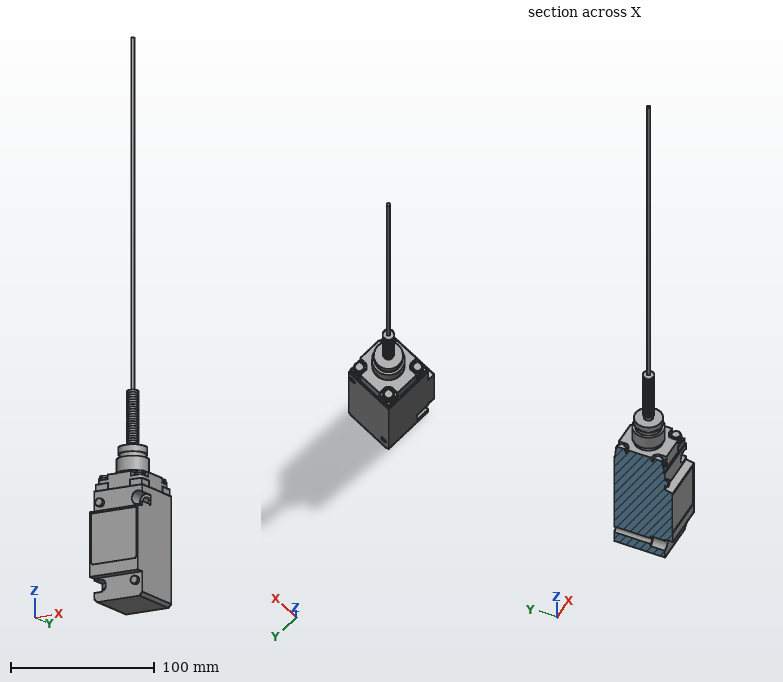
import cadquery as cq


TOTAL_HEIGHT = 408.5
HOUSING_SIDE = 39.2
HOUSING_HEIGHT = 80.0
BASE_CHAMFER = 2.5
FRONT_Y = -HOUSING_SIDE / 2

COVER_DEPTH = 6.0
COVER_BOTTOM = 17.0
COVER_TOP_FRONT = 63.7
COVER_TOP_REAR = 65.0
COVER_Y = FRONT_Y - COVER_DEPTH

PANEL_WIDTH = 36.8
PANEL_BOTTOM = 25.7
PANEL_TOP = 62.5
PANEL_CORNER = 1.2
PANEL_DEPTH = 0.5

FIXING_LOW_Z = 11.5
FIXING_HIGH_Z = 71.0
SCREW_X = 14.3
SCREW_RADIUS = 3.0
SCREW_PROTRUSION = 2.5
MOUNT_HOLE_RADIUS = 2.5
MOUNT_RECESS_DEPTH = 11.0
LOW_MOUNT_X = -14.5
LOW_RECESS_RADIUS = 4.5
HIGH_MOUNT_X = 16.0
HIGH_RECESS_RADIUS = 5.0

HEAD_TOP = 91.0
HEAD_WIDTH = 36.8
HEAD_CORNER_RADIUS = 4.0
FOOT_PROUD = 0.5
FOOT_SIZE = 10.0
FOOT_TOP = 85.0
CORNER_CUT = 9.0
CORNER_CUT_DEPTH = 3.3
CORNER_CUT_RADIUS = 4.0
HEAD_SCREW_OFFSET = 14.3
HEAD_SCREW_RADIUS = 3.3
HEAD_FLANGE_RADIUS = 3.9
HEAD_FLANGE_THICKNESS = 1.5

NECK_RADIUS = 10.2
COLLAR_RADIUS = 11.5
NECK_GROOVE_RADIUS = 9.5
COLLAR_BOTTOM = 94.5
COLLAR_TOP = 104.5
NECK_RING_BOTTOM = 108.2
NECK_TOP = 113.0

STEM_RADIUS = 3.3
SPRING_RADIUS = 4.0
SPRING_BOTTOM = 116.0
SPRING_TOP = 154.5
COIL_COUNT = 22
ROD_RADIUS = 1.2


def box(x_min, x_max, y_min, y_max, z_min, z_max):
    size = (x_max - x_min, y_max - y_min, z_max - z_min)
    return cq.Workplane("XY").box(*size, centered=False).translate((x_min, y_min, z_min))


def disc_along_y(x, z, radius, y_min, y_max):
    plane = cq.Workplane("XZ", origin=(x, y_min, z))
    return plane.circle(radius).extrude(y_min - y_max)


def housing():
    half = HOUSING_SIDE / 2
    body = box(-half, half, FRONT_Y, half, 0, HOUSING_HEIGHT)
    return body.edges("|Y and <Z").chamfer(BASE_CHAMFER)


def cover():
    side = [
        (FRONT_Y, COVER_BOTTOM),
        (COVER_Y, COVER_BOTTOM),
        (COVER_Y, COVER_TOP_FRONT),
        (FRONT_Y, COVER_TOP_REAR),
    ]
    return cq.Workplane("YZ").polyline(side).close().extrude(HOUSING_SIDE / 2, both=True)


def panel_recess():
    half = PANEL_WIDTH / 2
    recess = box(-half, half, COVER_Y, COVER_Y + PANEL_DEPTH, PANEL_BOTTOM, PANEL_TOP)
    return recess.edges("|Y and <Z").chamfer(PANEL_CORNER)


def mounting_holes():
    back = HOUSING_SIDE / 2
    recess_back = FRONT_Y + MOUNT_RECESS_DEPTH
    low_recess = disc_along_y(LOW_MOUNT_X, FIXING_LOW_Z, LOW_RECESS_RADIUS, FRONT_Y, recess_back)
    low_slot = box(
        -HOUSING_SIDE / 2,
        LOW_MOUNT_X,
        FRONT_Y,
        recess_back,
        FIXING_LOW_Z - LOW_RECESS_RADIUS,
        FIXING_LOW_Z + LOW_RECESS_RADIUS,
    )
    high_recess = disc_along_y(HIGH_MOUNT_X, FIXING_HIGH_Z, HIGH_RECESS_RADIUS, FRONT_Y, recess_back)
    low_hole = disc_along_y(LOW_MOUNT_X, FIXING_LOW_Z, MOUNT_HOLE_RADIUS, FRONT_Y, back)
    high_hole = disc_along_y(HIGH_MOUNT_X, FIXING_HIGH_Z, MOUNT_HOLE_RADIUS, FRONT_Y, back)
    return low_recess.union(low_slot).union(high_recess).union(low_hole).union(high_hole)


def cover_screws():
    front = FRONT_Y - SCREW_PROTRUSION
    high = disc_along_y(-SCREW_X, FIXING_HIGH_Z, SCREW_RADIUS, front, FRONT_Y)
    low = disc_along_y(SCREW_X, FIXING_LOW_Z, SCREW_RADIUS, front, FRONT_Y)
    return high.union(low)


def corner_cut(cut_z):
    """Tool for the corner at +X +Y: open on both outer sides, rounded on the inner edge."""
    half = HEAD_WIDTH / 2
    inner = half - CORNER_CUT
    cut = box(inner, half, inner, half, cut_z, HEAD_TOP)
    return cut.edges("|Z and <X and <Y").fillet(CORNER_CUT_RADIUS)


def corner_screw(cut_z):
    """Flanged screw head standing in the corner cut, level with the top of the head block."""
    plane = cq.Workplane("XY", origin=(HEAD_SCREW_OFFSET, HEAD_SCREW_OFFSET, cut_z))
    flange = plane.circle(HEAD_FLANGE_RADIUS).extrude(HEAD_FLANGE_THICKNESS)
    return flange.union(plane.circle(HEAD_SCREW_RADIUS).extrude(CORNER_CUT_DEPTH))


def head():
    half = HEAD_WIDTH / 2
    cut_z = HEAD_TOP - CORNER_CUT_DEPTH
    block = box(-half, half, -half, half, HOUSING_HEIGHT, HEAD_TOP)
    block = block.edges("|Z").fillet(HEAD_CORNER_RADIUS)

    foot_outer = half + FOOT_PROUD
    foot_inner = foot_outer - FOOT_SIZE
    foot = box(foot_inner, foot_outer, foot_inner, foot_outer, HOUSING_HEIGHT, FOOT_TOP)
    cut = corner_cut(cut_z)
    screw = corner_screw(cut_z)
    for angle in (0, 90, 180, 270):
        turn = ((0, 0, 0), (0, 0, 1), angle)
        block = block.union(foot.rotate(*turn))
        block = block.cut(cut.rotate(*turn))
        block = block.union(screw.rotate(*turn))
    return block


def stick():
    """Neck, spring and rod turned as one profile, with one rounded bulge per spring coil."""
    outline = cq.Workplane("XZ").moveTo(0, HOUSING_HEIGHT)
    steps = [
        (NECK_RADIUS, HOUSING_HEIGHT, COLLAR_BOTTOM),
        (COLLAR_RADIUS, COLLAR_BOTTOM, COLLAR_TOP),
        (NECK_GROOVE_RADIUS, COLLAR_TOP, NECK_RING_BOTTOM),
        (NECK_RADIUS, NECK_RING_BOTTOM, NECK_TOP),
        (STEM_RADIUS, NECK_TOP, SPRING_BOTTOM),
    ]
    for radius, bottom, top in steps:
        outline = outline.lineTo(-radius, bottom).lineTo(-radius, top)

    pitch = (SPRING_TOP - SPRING_BOTTOM) / COIL_COUNT
    for coil in range(COIL_COUNT):
        bottom = SPRING_BOTTOM + coil * pitch
        crest = (-SPRING_RADIUS, bottom + pitch / 2)
        outline = outline.threePointArc(crest, (-STEM_RADIUS, bottom + pitch))

    outline = outline.lineTo(-ROD_RADIUS, SPRING_TOP).lineTo(-ROD_RADIUS, TOTAL_HEIGHT)
    outline = outline.lineTo(0, TOTAL_HEIGHT)
    return outline.close().revolve(360, (0, 0, 0), (0, 1, 0))


result = housing().union(cover())
result = result.cut(panel_recess()).cut(mounting_holes())
result = result.union(cover_screws()).union(head()).union(stick())